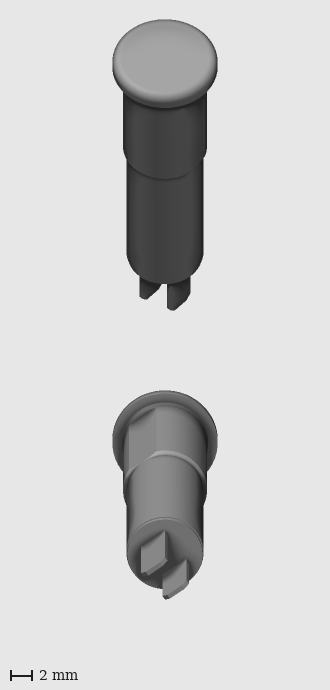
import cadquery as cq

total_height = 37.35

head_radius = 5.0
head_thickness = 1.5
head_rounding = 0.82
neck_flare = 0.1
neck_flare_height = 0.37

upper_radius = 4.0
lower_radius = 3.65
flat_top_depth = 2.28
step_depth = 13.85
step_chamfer = upper_radius - lower_radius
end_ring_radius = 3.55
end_ring_height = 0.45
barrel_depth = 30.05

blade_thickness = 0.45
blade_width = 2.8
blade_offset = 1.75
blade_tip_chamfer = 0.55
short_blade_bottom = 1.25

head_bottom = total_height - head_thickness
flat_top = total_height - flat_top_depth
step_bottom = total_height - step_depth
barrel_bottom = total_height - barrel_depth


def disc(radius, bottom, top):
    return cq.Workplane("XY").workplane(offset=bottom).circle(radius).extrude(top - bottom)


def make_head():
    plate = disc(head_radius, head_bottom, total_height)
    plate = plate.faces(">Z").edges().fillet(head_rounding)
    flare = (
        cq.Workplane("XZ")
        .moveTo(0, head_bottom)
        .lineTo(upper_radius + neck_flare, head_bottom)
        .lineTo(upper_radius, head_bottom - neck_flare_height)
        .lineTo(0, head_bottom - neck_flare_height)
        .close()
        .revolve(360, (0, 0), (0, 1))
    )
    return plate.union(flare)


def make_barrel():
    upper = disc(upper_radius, step_bottom, head_bottom)
    upper = upper.faces("<Z").edges().chamfer(step_chamfer)
    flat_height = flat_top - step_bottom
    for side in (-1, 1):
        cutter = cq.Workplane("XY").box(upper_radius, 2 * upper_radius, flat_height)
        cutter_x = side * (lower_radius + upper_radius / 2)
        upper = upper.cut(cutter.translate((cutter_x, 0, step_bottom + flat_height / 2)))
    lower = disc(lower_radius, barrel_bottom + end_ring_height, step_bottom)
    end_ring = disc(end_ring_radius, barrel_bottom, barrel_bottom + end_ring_height)
    return upper.union(lower).union(end_ring)


def make_blade(x, bottom):
    height = barrel_bottom - bottom
    blade = cq.Workplane("XY").box(blade_thickness, blade_width, height)
    blade = blade.faces("<Z").edges("|X").chamfer(blade_tip_chamfer)
    return blade.translate((x, 0, bottom + height / 2))


result = (
    make_head()
    .union(make_barrel())
    .union(make_blade(-blade_offset, 0))
    .union(make_blade(blade_offset, short_blade_bottom))
)